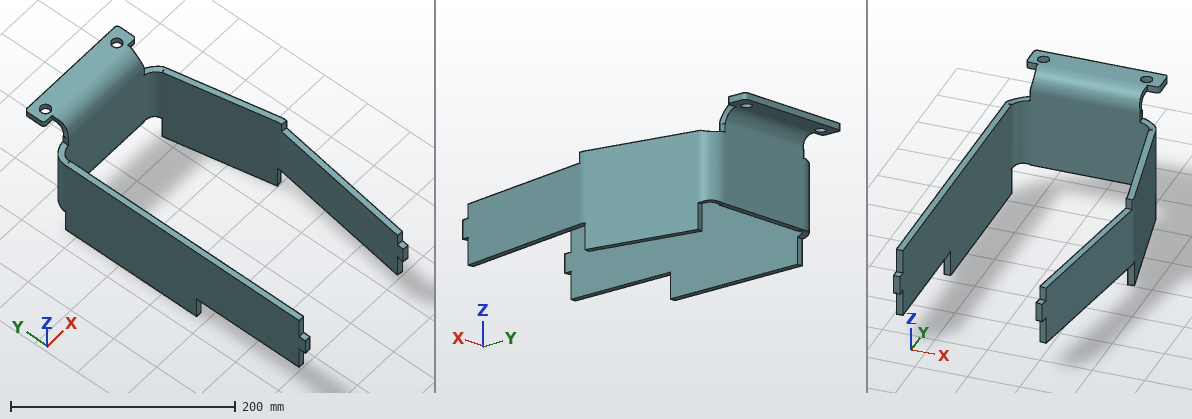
import cadquery as cq
import math

THICKNESS = 6.5
OUTER_RADIUS = 19.0
INNER_RADIUS = OUTER_RADIUS - THICKNESS
RELIEF_DEPTH = 1.5

OVERALL_WIDTH = 166.0
OVERALL_LENGTH = 334.5
OVERALL_HEIGHT = 119.5

PLATE_LEFT = OUTER_RADIUS
PLATE_RIGHT = 123.7
PLATE_BOTTOM = 25.0
ARM_TOP = 92.3
FRONT_TOP = 82.2
SKIRT_LENGTH = 172.2

FLANGE_END = 35.0
FLANGE_WIDTH = 127
FLANGE_DEPTH = 22.5
FLANGE_CORNER = 3.5
HOLE_DIAMETER = 10.7
HOLE_SPACING = 98.3
HOLE_INSET = 13.0
HOLE_CENTER_X = 70.2

TAB_LENGTH = 7.5
TAB_BOTTOM = 51.0
TAB_TOP = 69.2

REAR_LEAN = 11.5
FRONT_LEAN = 8.5

FRONT_END = FLANGE_END - OVERALL_LENGTH
PLATE_CENTER_X = (PLATE_LEFT + PLATE_RIGHT) / 2
PLATE_WIDTH = PLATE_RIGHT - PLATE_LEFT
FOLD_Y = INNER_RADIUS
FOLD_Z = OVERALL_HEIGHT - OUTER_RADIUS

lean = math.radians(REAR_LEAN)
front_lean = math.radians(FRONT_LEAN)
ELBOW_X = OVERALL_WIDTH - OUTER_RADIUS
REAR_LENGTH = (ELBOW_X - PLATE_RIGHT) / math.sin(lean)
ELBOW_Y = -OUTER_RADIUS - REAR_LENGTH * math.cos(lean)
FRONT_START_Y = ELBOW_Y - OUTER_RADIUS * math.sin(front_lean)
FRONT_LENGTH = (FRONT_START_Y - FRONT_END) / math.cos(front_lean)


def box(x0, x1, y0, y1, z0, z1):
    return cq.Workplane("XY").box(x1 - x0, y1 - y0, z1 - z0, centered=False).translate((x0, y0, z0))


def bend(sweep, width, relief=0):
    """Bend about local Z, centred on local +X; relief hollows both of its edges."""
    half = math.radians(sweep / 2)

    def arc_point(radius, angle):
        return (radius * math.cos(angle), radius * math.sin(angle))

    body = (
        cq.Workplane("XY")
        .moveTo(*arc_point(INNER_RADIUS, -half))
        .lineTo(*arc_point(OUTER_RADIUS, -half))
        .threePointArc(arc_point(OUTER_RADIUS, 0), arc_point(OUTER_RADIUS, half))
        .lineTo(*arc_point(INNER_RADIUS, half))
        .threePointArc(arc_point(INNER_RADIUS, 0), arc_point(INNER_RADIUS, -half))
        .close()
        .extrude(width)
    )
    if relief:
        half_chord = (INNER_RADIUS + OUTER_RADIUS) / 2 * math.sin(half)
        cutter_radius = (half_chord**2 + relief**2) / (2 * relief)
        offset = cutter_radius - relief
        cutters = cq.Workplane("YZ").pushPoints([(0, -offset), (0, width + offset)])
        body = body.cut(cutters.circle(cutter_radius).extrude(OUTER_RADIUS))
    return body


def place(body, angle, x, y, z=0):
    """Turn a body about Z, then move its origin to (x, y, z)."""
    return body.rotate((0, 0, 0), (0, 0, 1), angle).translate((x, y, z))


def strip(length, bottom, top):
    """Strip running toward local -Y, its outer face OUTER_RADIUS from the bend axis."""
    return box(INNER_RADIUS, OUTER_RADIUS, -length, 0, bottom, top)


def tabbed_strip(length, top):
    """Strip with a narrow tab on its free end; length includes the tab."""
    body = strip(length - TAB_LENGTH, PLATE_BOTTOM, top)
    return body.union(strip(length, TAB_BOTTOM, TAB_TOP))


def make_flange():
    bottom = OVERALL_HEIGHT - THICKNESS
    left = PLATE_CENTER_X - FLANGE_WIDTH / 2
    body = box(left, left + FLANGE_WIDTH, FLANGE_END - FLANGE_DEPTH, FLANGE_END, bottom, OVERALL_HEIGHT)
    body = body.edges("|Z").fillet(FLANGE_CORNER)
    holes = (
        cq.Workplane("XY", origin=(HOLE_CENTER_X, FLANGE_END - HOLE_INSET, bottom))
        .rarray(HOLE_SPACING, 3.5, 2, 1)
        .circle(HOLE_DIAMETER / 2)
        .extrude(THICKNESS)
    )
    return body.cut(holes)


def make_flange_fold():
    body = bend(90, PLATE_WIDTH, RELIEF_DEPTH)
    body = body.rotate((0, 0, 0), (0, 1, 0), -90).rotate((0, 0, 0), (1, 0, 0), 45)
    return body.translate((PLATE_RIGHT, FOLD_Y, FOLD_Z))


def make_left_arm():
    skirt = box(0, THICKNESS, -SKIRT_LENGTH, -OUTER_RADIUS, 0, PLATE_BOTTOM)
    arm = tabbed_strip(-OUTER_RADIUS - FRONT_END, ARM_TOP).mirror("YZ")
    return arm.translate((PLATE_LEFT, -OUTER_RADIUS, 0)).union(skirt)


def make_right_arm():
    rear = place(strip(REAR_LENGTH, 0, ARM_TOP), REAR_LEAN, PLATE_RIGHT, -OUTER_RADIUS)
    elbow = bend(REAR_LEAN + FRONT_LEAN, ARM_TOP - PLATE_BOTTOM)
    elbow = place(elbow, (REAR_LEAN - FRONT_LEAN) / 2, ELBOW_X, ELBOW_Y, PLATE_BOTTOM)
    front = place(tabbed_strip(FRONT_LENGTH, FRONT_TOP), -FRONT_LEAN, ELBOW_X, ELBOW_Y)
    return rear.union(elbow).union(front)


def make_corner(sweep, middle_angle, x):
    body = bend(sweep, ARM_TOP - PLATE_BOTTOM, RELIEF_DEPTH)
    return place(body, middle_angle, x, -OUTER_RADIUS, PLATE_BOTTOM)


result = box(PLATE_LEFT, PLATE_RIGHT, -THICKNESS, 0, PLATE_BOTTOM, FOLD_Z)
for feature in (
    make_flange_fold(),
    make_flange(),
    make_corner(90, 135, PLATE_LEFT),
    make_corner(90 - REAR_LEAN, (90 + REAR_LEAN) / 2, PLATE_RIGHT),
    make_left_arm(),
    make_right_arm(),
):
    result = result.union(feature)